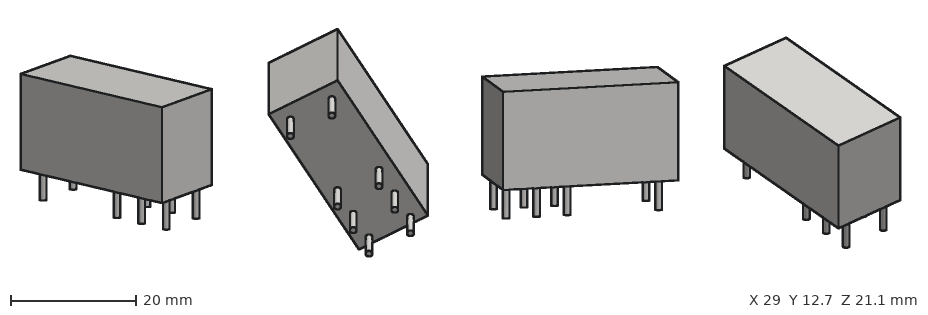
import cadquery as cq

housing_length = 29.0
housing_width = 12.7
total_height = 21.1
pin_length = 5.1
housing_height = total_height - pin_length

pin_diameter = 1.1
pin_pitch = 5.05
group_size = 3
lone_pin_gap = 3 * pin_pitch
row_spacing = 7.63
first_pin_inset = 2.58

first_pin_x = -housing_length / 2 + first_pin_inset
group_start_x = first_pin_x + lone_pin_gap
pin_xs = [first_pin_x] + [group_start_x + i * pin_pitch for i in range(group_size)]
row_ys = [-row_spacing / 2, row_spacing / 2]


def make_housing():
    """Block with its underside at Z = 0."""
    return cq.Workplane("XY").box(
        housing_length, housing_width, housing_height, centered=(True, True, False)
    )


def make_pin(x, y):
    """Round pin hanging from the underside of the housing."""
    return cq.Workplane("XY").center(x, y).circle(pin_diameter / 2).extrude(-pin_length)


housing = make_housing()
pins = [make_pin(x, y) for y in row_ys for x in pin_xs]

result = cq.Compound.makeCompound([housing.val(), *[pin.val() for pin in pins]])